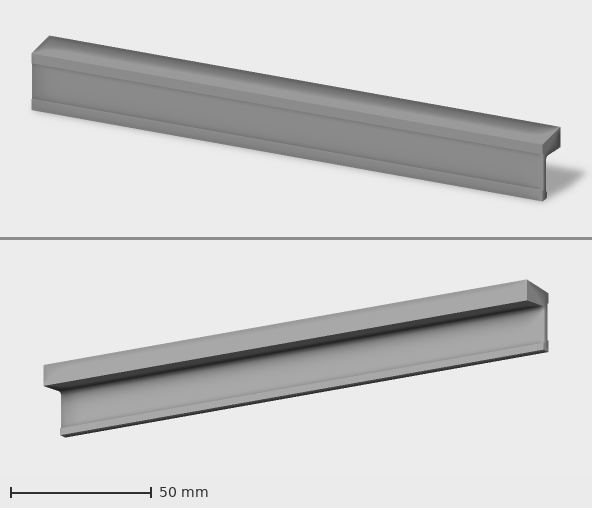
import cadquery as cq

length = 200.0
depth = 15.0
height = 23.0

head_front_top = 21.8
head_front_bottom = 18.0
head_rear_bottom = 15.2
head_web_bottom = 16.2
corner_radius = 1.5

web_setback = 0.5
web_thickness = 2.2
web_rear = web_setback + web_thickness

foot_depth = 3.5
foot_front_height = 4.2
foot_rear_height = 2.5

profile = [
    (0, 0),
    (foot_depth, 0),
    (foot_depth, foot_rear_height),
    (web_rear, foot_rear_height),
    (web_rear, head_web_bottom),
    (depth, head_rear_bottom),
    (depth, height),
    (0, head_front_top),
    (0, head_front_bottom),
    (web_setback, head_front_bottom),
    (web_setback, foot_front_height),
    (0, foot_front_height),
]
bar = cq.Workplane("YZ").polyline(profile).close().extrude(length)

inside_corner = cq.selectors.NearestToPointSelector((length / 2, web_rear, head_web_bottom))
result = bar.edges(inside_corner).fillet(corner_radius)